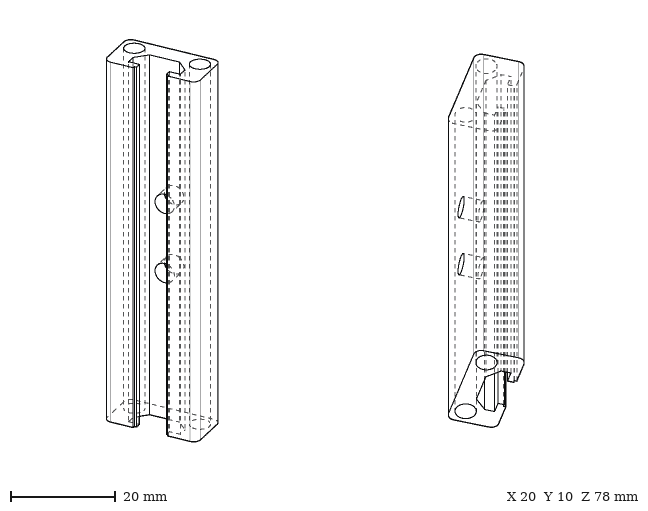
import cadquery as cq

WIDTH = 20.0
DEPTH = 10.0
LENGTH = 78.0
CORNER_RADIUS = 1.5

MOUTH_WIDTH = 6.4
CAVITY_WIDTH = 11.1
CAVITY_CHAMFER = 2.35
BACK_THICKNESS = 4.0
LIP_THICKNESS = 1.7

REBATE_WIDTH = 0.5
REBATE_DEPTH = 0.5

BORE_DIAMETER = 4.05
BORE_SPACING = 14.05
BORE_BACK_OFFSET = 3.0

CROSS_HOLE_DIAMETER = 4.1
CROSS_HOLE_SPACING = 15.0

front_y = -DEPTH / 2
back_y = DEPTH / 2


def make_body():
    return (
        cq.Workplane("XY")
        .rect(WIDTH, DEPTH)
        .extrude(LENGTH)
        .edges("|Z")
        .fillet(CORNER_RADIUS)
    )


def make_slot():
    """Symmetric T-slot section with chamfered inner corners."""
    mouth_x = MOUTH_WIDTH / 2
    rebate_x = mouth_x + REBATE_WIDTH
    cavity_x = CAVITY_WIDTH / 2
    floor_x = cavity_x - CAVITY_CHAMFER
    rebate_y = front_y + REBATE_DEPTH
    lip_y = front_y + LIP_THICKNESS
    floor_y = back_y - BACK_THICKNESS
    right_side = [
        (rebate_x, front_y),
        (rebate_x, rebate_y),
        (mouth_x, rebate_y),
        (mouth_x, lip_y),
        (cavity_x, lip_y),
        (cavity_x, floor_y - CAVITY_CHAMFER),
        (floor_x, floor_y),
    ]
    left_side = [(-x, y) for x, y in reversed(right_side)]
    return cq.Workplane("XY").polyline(right_side + left_side).close().extrude(LENGTH)


def make_bores():
    """Two bores running the full length, near the back corners."""
    bore_x = BORE_SPACING / 2
    bore_y = back_y - BORE_BACK_OFFSET
    return (
        cq.Workplane("XY")
        .pushPoints([(-bore_x, bore_y), (bore_x, bore_y)])
        .circle(BORE_DIAMETER / 2)
        .extrude(LENGTH)
    )


def make_cross_holes():
    """Two holes through the back wall, spaced about mid-length."""
    half_spacing = CROSS_HOLE_SPACING / 2
    return (
        cq.Workplane("XZ", origin=(0, 0, LENGTH / 2))
        .pushPoints([(0, -half_spacing), (0, half_spacing)])
        .circle(CROSS_HOLE_DIAMETER / 2)
        .extrude(DEPTH / 2, both=True)
    )


result = make_body().cut(make_slot()).cut(make_bores()).cut(make_cross_holes())